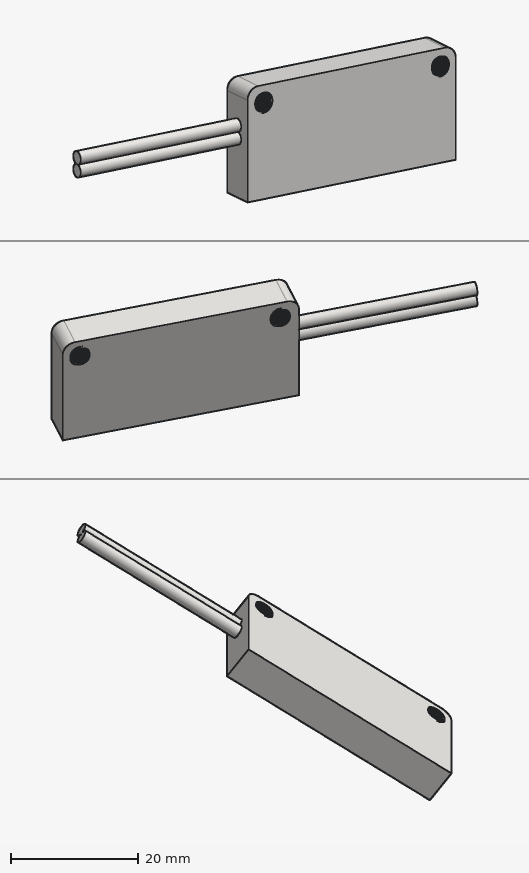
import cadquery as cq

total_length = 69.0
body_width = 5.9
body_height = 19.0
cable_length = 30.0
body_length = total_length - cable_length
corner_radius = 2.0

hole_diameter = 3.0
thread_diameter = 3.5
thread_pitch = 0.5
thread_groove_width = 0.4
thread_overlap = 0.1
thread_start_angle = 45
hole_inset = 3.0

lead_diameter = 2.2
lead_pitch = 2.15
lead_pair_height = 11.0


def make_body():
    """Flat block with its lower front edge on the origin and rounded upper ends."""
    block = cq.Workplane("XY").box(
        body_width, body_length, body_height, centered=(True, False, False)
    )
    return block.edges("|X and >Z").fillet(corner_radius)


def make_threaded_hole_cutter():
    """Bore and helical V groove along Z, longer than the body is wide."""
    cutter_length = body_width + 2 * thread_pitch
    bore_radius = hole_diameter / 2
    root_radius = bore_radius - thread_overlap
    bore = cq.Workplane("XY").circle(bore_radius).extrude(cutter_length)
    helix = cq.Wire.makeHelix(thread_pitch, cutter_length, bore_radius)
    groove = (
        cq.Workplane("XZ")
        .moveTo(root_radius, -thread_groove_width / 2)
        .lineTo(thread_diameter / 2, 0)
        .lineTo(root_radius, thread_groove_width / 2)
        .close()
        .sweep(cq.Workplane(helix), isFrenet=True)
    )
    return bore.union(groove).translate((0, 0, -cutter_length / 2))


def make_lead(z):
    """Straight round lead leaving the front end face."""
    return (
        cq.Workplane("XZ")
        .center(0, z)
        .circle(lead_diameter / 2)
        .extrude(cable_length)
    )


result = make_body()
hole_cutter = make_threaded_hole_cutter().rotate((0, 0, 0), (0, 1, 0), 90)
hole_cutter = hole_cutter.rotate((0, 0, 0), (1, 0, 0), thread_start_angle)
for hole_y in (hole_inset, body_length - hole_inset):
    result = result.cut(hole_cutter.translate((0, hole_y, body_height - hole_inset)))
for side in (-1, 1):
    result = result.union(make_lead(lead_pair_height + side * lead_pitch / 2))